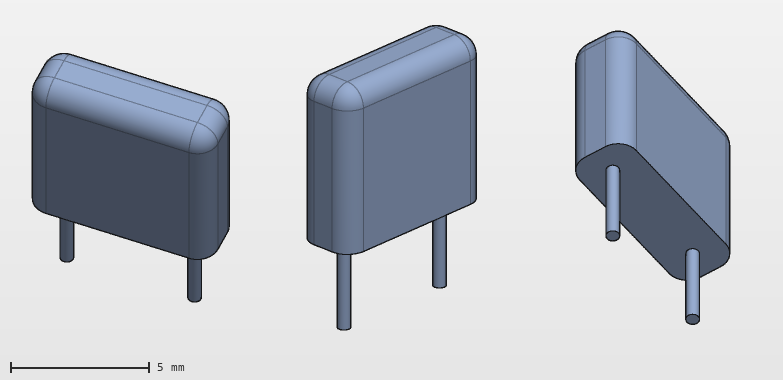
import cadquery as cq

housing_width = 7.2
housing_depth = 2.5
housing_height = 6.5
edge_radius = 0.8

lead_diameter = 0.5
lead_length = 3.5
lead_spacing = 5.0


def make_housing():
    """Box standing on Z = 0, rounded everywhere except around its underside."""
    block = cq.Workplane("XY").box(
        housing_width, housing_depth, housing_height, centered=(True, True, False)
    )
    return block.edges("|Z or >Z").fillet(edge_radius)


def make_lead(x):
    """Straight wire hanging down from the housing underside at the given X."""
    return cq.Workplane("XY").center(x, 0).circle(lead_diameter / 2).extrude(-lead_length)


housing = make_housing()
leads = [make_lead(side * lead_spacing / 2) for side in (-1, 1)]

result = cq.Compound.makeCompound([housing.val(), *[lead.val() for lead in leads]])